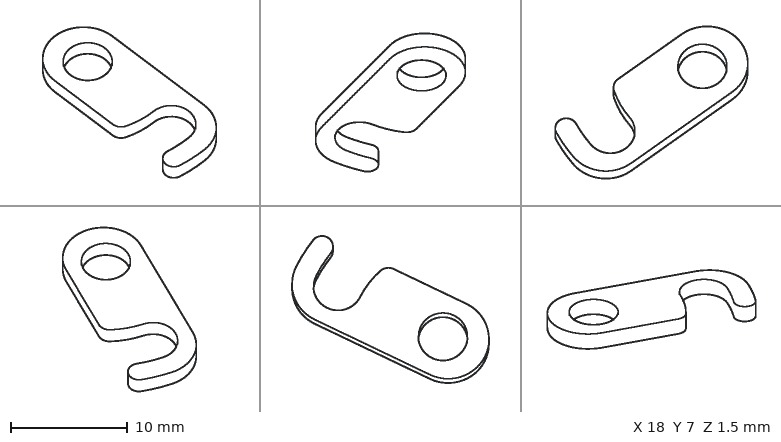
import cadquery as cq
import math

length = 18.0
width = 7.0
thickness = 1.5

hole_diameter = 4.2
pivot_x = 4.0
slot_x = 14.0
corner_radius = 1.0

end_radius = width / 2
hole_radius = hole_diameter / 2

slot_inner_swing = slot_x - hole_radius - pivot_x
slot_outer_swing = slot_x + hole_radius - pivot_x
arm_outer_swing = length - pivot_x

tip_radius = (arm_outer_swing - slot_outer_swing) / 2
tip_swing = (arm_outer_swing + slot_outer_swing) / 2
tip_angle = -math.asin((end_radius - tip_radius) / tip_swing)

corner_swing = slot_inner_swing - corner_radius
corner_angle = -math.asin((end_radius - corner_radius) / corner_swing)


def polar(radius, angle, center=(pivot_x, 0)):
    """Point at a radius and angle about a center, by default the pivot."""
    return (center[0] + radius * math.cos(angle), center[1] + radius * math.sin(angle))


tip_center = polar(tip_swing, tip_angle)
corner_center = polar(corner_swing, corner_angle)
corner_middle_angle = (corner_angle - math.pi / 2) / 2
right_end_center = (length - end_radius, 0)

outline = (
    cq.Workplane("XY")
    .moveTo(end_radius, end_radius)
    .lineTo(length - end_radius, end_radius)
    .threePointArc(polar(end_radius, math.pi / 4, right_end_center), (length, 0))
    .threePointArc(polar(arm_outer_swing, tip_angle / 2), polar(arm_outer_swing, tip_angle))
    .threePointArc(
        polar(tip_radius, tip_angle - math.pi / 2, tip_center),
        polar(slot_outer_swing, tip_angle),
    )
    .threePointArc(polar(slot_outer_swing, tip_angle / 2), polar(slot_outer_swing, 0))
    .threePointArc((slot_x, hole_radius), polar(slot_inner_swing, 0))
    .threePointArc(
        polar(slot_inner_swing, corner_angle / 2),
        polar(slot_inner_swing, corner_angle),
    )
    .threePointArc(
        polar(corner_radius, corner_middle_angle, corner_center),
        (corner_center[0], -end_radius),
    )
    .lineTo(end_radius, -end_radius)
    .threePointArc((0, 0), (end_radius, end_radius))
    .close()
)
plate = outline.extrude(thickness)

pivot_hole = cq.Workplane("XY").center(pivot_x, 0).circle(hole_radius).extrude(thickness)

result = plate.cut(pivot_hole)